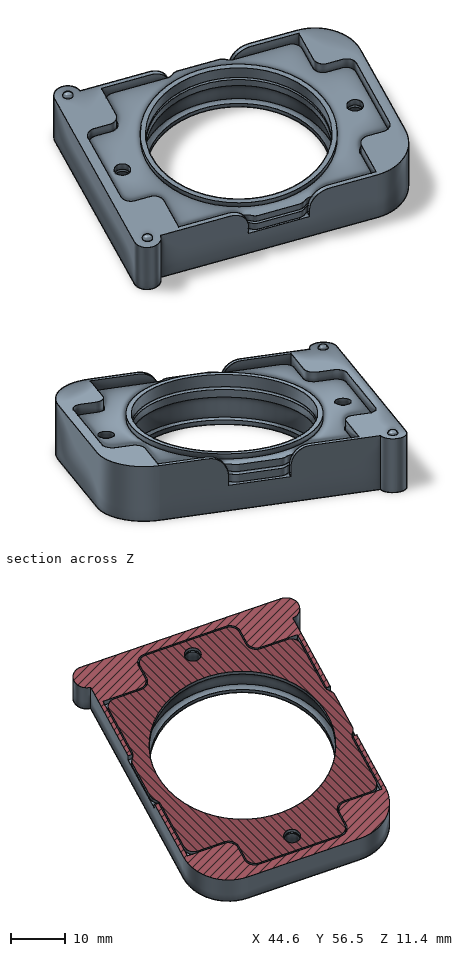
import cadquery as cq
import math

LENGTH = 56.45
HALF_LENGTH = LENGTH / 2
HALF_WIDTH = 20.1
REAR_CORNER_RADIUS = 9.0
EAR_RADIUS = 2.5
EAR_REACH = 22.3
EAR_FLAT = 0.1
EAR_CENTER_X = EAR_REACH - EAR_RADIUS
EAR_FRONT_Y = -HALF_LENGTH + EAR_RADIUS
EAR_REAR_Y = EAR_FRONT_Y + EAR_FLAT

FRONT_HEIGHT = 10.8
REAR_HEIGHT = 10.95
FLOOR_HEIGHT = 5.1
LIP_HEIGHT = 0.9
TOTAL_HEIGHT = 11.45

PLATE_HALF_WIDTH = 19.1
PLATE_HALF_MIDDLE = 19.15
PLATE_HALF_LENGTH = 26.1
NECK_HALF_WIDTH = 9.9
CORNER_RADIUS = 2.0
TAB_HALF_FLAT = 3.95
CLEARANCE = 0.15

LOWER_PLATE_BOTTOM = 5.5
LOWER_PLATE_TOP = 7.0
UPPER_PLATE_BOTTOM = 7.55
UPPER_PLATE_TOP = 9.0
RING_TOP = 10.0

LENS_OPENING_DIAMETER = 33.9
LENS_BORE_DIAMETER = 36.4
RING_DIAMETER = 35.9
SCREW_HOLE_DIAMETER = 3.0
SCREW_HOLE_Y = 22.75
BUMP_RADIUS = 0.95

NOTCH_HALF_WIDTH = 6.0
NOTCH_FRONT_RADIUS = 3.7
NOTCH_REAR_RADIUS = 4.0


def disc(diameter, bottom, top, y=0.0):
    """Upright cylinder on the X = 0 plane."""
    return cq.Workplane("XY", origin=(0, y, bottom)).circle(diameter / 2).extrude(top - bottom)


def cut_screw_holes(body):
    for y in (-SCREW_HOLE_Y, SCREW_HOLE_Y):
        body = body.cut(disc(SCREW_HOLE_DIAMETER, 0, REAR_HEIGHT, y))
    return body


def block(half_x, half_y, bottom, top):
    """Box centred on the Z axis."""
    return cq.Workplane("XY", origin=(0, 0, bottom)).rect(2 * half_x, 2 * half_y).extrude(top - bottom)


def necked_block(offset, bottom, top, round_middle):
    """Plate outline grown by an offset, with its neck corners rounded inside and out."""
    middle = block(PLATE_HALF_WIDTH + offset, PLATE_HALF_MIDDLE + offset, bottom, top)
    if round_middle:
        middle = middle.edges("|Z").fillet(CORNER_RADIUS)
    neck = block(NECK_HALF_WIDTH + offset, PLATE_HALF_LENGTH + offset, bottom, top)
    reach_x = NECK_HALF_WIDTH + CORNER_RADIUS
    neck_edges = cq.selectors.BoxSelector((-reach_x, -LENGTH, bottom), (reach_x, LENGTH, top))
    return middle.union(neck).edges("|Z").edges(neck_edges).fillet(CORNER_RADIUS)


def housing_outline():
    """Outer outline with round rear corners and an ear at each front corner."""
    diagonal = math.sqrt(0.5)
    rear_center_x = HALF_WIDTH - REAR_CORNER_RADIUS
    rear_center_y = HALF_LENGTH - REAR_CORNER_RADIUS
    rear_mid = REAR_CORNER_RADIUS * diagonal
    ear_mid = EAR_RADIUS * diagonal

    wall_offset = HALF_WIDTH - EAR_CENTER_X
    wall_y = EAR_REAR_Y + math.sqrt(EAR_RADIUS**2 - wall_offset**2)

    return (
        cq.Workplane("XY")
        .moveTo(0, -HALF_LENGTH)
        .lineTo(EAR_CENTER_X, -HALF_LENGTH)
        .threePointArc((EAR_CENTER_X + ear_mid, EAR_FRONT_Y - ear_mid), (EAR_REACH, EAR_FRONT_Y))
        .lineTo(EAR_REACH, EAR_REAR_Y)
        .threePointArc((EAR_CENTER_X + ear_mid, EAR_REAR_Y + ear_mid), (HALF_WIDTH, wall_y))
        .lineTo(HALF_WIDTH, rear_center_y)
        .threePointArc((rear_center_x + rear_mid, rear_center_y + rear_mid), (rear_center_x, HALF_LENGTH))
        .lineTo(0, HALF_LENGTH)
        .mirrorY()
    )


def notch_cutter():
    """Notch with a flat floor that flares out to the top of the walls in two rounds."""
    arc_inset = 1 - math.sqrt(0.5)
    front_top_y = -NOTCH_HALF_WIDTH - NOTCH_FRONT_RADIUS
    rear_top_y = NOTCH_HALF_WIDTH + NOTCH_REAR_RADIUS
    front_mid = (
        -NOTCH_HALF_WIDTH - NOTCH_FRONT_RADIUS * arc_inset,
        FRONT_HEIGHT - NOTCH_FRONT_RADIUS * arc_inset,
    )
    rear_mid = (
        NOTCH_HALF_WIDTH + NOTCH_REAR_RADIUS * arc_inset,
        REAR_HEIGHT - NOTCH_REAR_RADIUS * arc_inset,
    )
    return (
        cq.Workplane("YZ")
        .moveTo(-NOTCH_HALF_WIDTH, FLOOR_HEIGHT)
        .lineTo(NOTCH_HALF_WIDTH, FLOOR_HEIGHT)
        .lineTo(NOTCH_HALF_WIDTH, REAR_HEIGHT - NOTCH_REAR_RADIUS)
        .threePointArc(rear_mid, (rear_top_y, REAR_HEIGHT))
        .lineTo(front_top_y, REAR_HEIGHT)
        .lineTo(front_top_y, FRONT_HEIGHT)
        .threePointArc(front_mid, (-NOTCH_HALF_WIDTH, FRONT_HEIGHT - NOTCH_FRONT_RADIUS))
        .close()
        .extrude(HALF_WIDTH, both=True)
    )


def bump(x):
    """Domed bump on top of an ear."""
    height = TOTAL_HEIGHT - FRONT_HEIGHT
    sphere_radius = (BUMP_RADIUS**2 + height**2) / (2 * height)
    ball = cq.Workplane("XY", origin=(x, EAR_REAR_Y, TOTAL_HEIGHT - sphere_radius)).sphere(sphere_radius)
    cap = cq.Workplane("XY", origin=(x, EAR_REAR_Y, FRONT_HEIGHT)).circle(EAR_RADIUS).extrude(height)
    return ball.intersect(cap)


def make_housing():
    body = housing_outline().extrude(REAR_HEIGHT)

    front_relief = block(EAR_REACH, HALF_LENGTH, FRONT_HEIGHT, REAR_HEIGHT)
    body = body.cut(front_relief.translate((0, -HALF_LENGTH, 0)))

    pocket = necked_block(CLEARANCE, FLOOR_HEIGHT, REAR_HEIGHT, round_middle=False)
    body = body.cut(pocket).cut(notch_cutter())

    body = body.cut(disc(LENS_OPENING_DIAMETER, 0, LIP_HEIGHT))
    body = body.cut(disc(LENS_BORE_DIAMETER, LIP_HEIGHT, FLOOR_HEIGHT))
    body = cut_screw_holes(body)

    for x in (-EAR_CENTER_X, EAR_CENTER_X):
        body = body.union(bump(x))
    return body


def tab_block(bottom, top):
    """Strip across the plate whose ends are the side tabs, blended into the plate edge in S-curves."""
    step = HALF_WIDTH - PLATE_HALF_WIDTH
    sweep = math.acos(1 - step / (2 * CORNER_RADIUS))
    half_run = CORNER_RADIUS * math.sin(sweep)
    bend_y = TAB_HALF_FLAT + half_run
    foot_y = bend_y + half_run
    mid_run = CORNER_RADIUS * math.sin(sweep / 2)
    mid_drop = CORNER_RADIUS * (1 - math.cos(sweep / 2))
    return (
        cq.Workplane("XY", origin=(0, 0, bottom))
        .moveTo(0, -foot_y)
        .lineTo(PLATE_HALF_WIDTH, -foot_y)
        .threePointArc((PLATE_HALF_WIDTH + mid_drop, -foot_y + mid_run), (HALF_WIDTH - step / 2, -bend_y))
        .threePointArc((HALF_WIDTH - mid_drop, -TAB_HALF_FLAT - mid_run), (HALF_WIDTH, -TAB_HALF_FLAT))
        .lineTo(HALF_WIDTH, TAB_HALF_FLAT)
        .threePointArc((HALF_WIDTH - mid_drop, TAB_HALF_FLAT + mid_run), (HALF_WIDTH - step / 2, bend_y))
        .threePointArc((PLATE_HALF_WIDTH + mid_drop, foot_y - mid_run), (PLATE_HALF_WIDTH, foot_y))
        .lineTo(0, foot_y)
        .mirrorY()
        .extrude(top - bottom)
    )


def make_plate(bottom, top):
    """Flat plate with side tabs, two screw holes and the lens opening."""
    body = necked_block(0, bottom, top, round_middle=True).union(tab_block(bottom, top))
    body = body.cut(disc(LENS_OPENING_DIAMETER, bottom, top))
    return cut_screw_holes(body)


def make_upper_plate():
    """Plate with a raised ring around the lens opening."""
    ring = disc(RING_DIAMETER, UPPER_PLATE_TOP, RING_TOP)
    ring = ring.cut(disc(LENS_OPENING_DIAMETER, UPPER_PLATE_TOP, RING_TOP))
    return make_plate(UPPER_PLATE_BOTTOM, UPPER_PLATE_TOP).union(ring)


housing = make_housing()
lower_plate = make_plate(LOWER_PLATE_BOTTOM, LOWER_PLATE_TOP)
upper_plate = make_upper_plate()

result = cq.Compound.makeCompound([housing.val(), lower_plate.val(), upper_plate.val()])